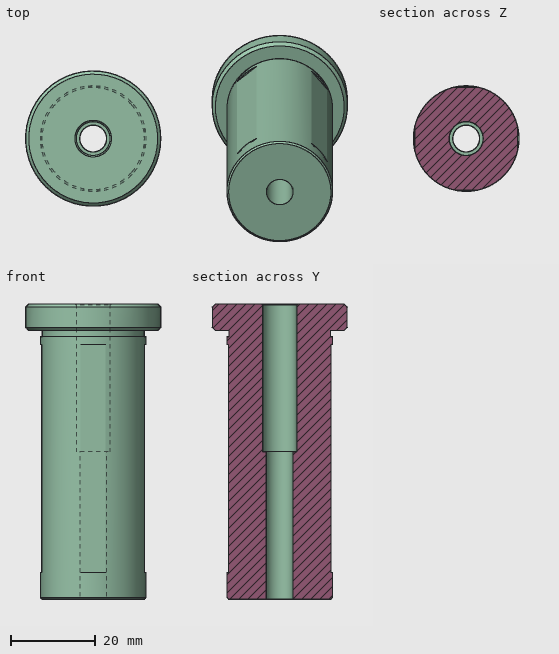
import cadquery as cq

length = 69.85
flange_radius = 16.0
flange_height = 6.35
flange_chamfer = 0.8

shank_radius = 12.5
shank_chamfer = 0.4
groove_radius = 12.1
groove_height = 1.4

flat_distance = 12.15
flat_bottom = 6.35
flat_top = 60.2
flat_cutter_depth = 1.4

bore_radius = 3.15
counterbore_radius = 4.0
counterbore_depth = length / 2
bore_mouth_chamfer = 0.35

flange_bottom = length - flange_height


def make_flange():
    disc = cq.Workplane("XY").workplane(offset=flange_bottom)
    return disc.circle(flange_radius).extrude(flange_height).edges().chamfer(flange_chamfer)


def make_shank():
    shank_height = flange_bottom - groove_height
    shank = cq.Workplane("XY").circle(shank_radius).extrude(shank_height)
    shank = shank.faces("<Z").edges().chamfer(shank_chamfer)
    neck = cq.Workplane("XY").circle(groove_radius).extrude(flange_bottom)
    return shank.union(neck)


def make_flat_cutter(angle):
    """Block whose inner face forms one flat, turned about the part's axis."""
    block = cq.Workplane("XY").box(
        flat_cutter_depth, 2 * shank_radius, flat_top - flat_bottom, centered=(False, True, False)
    )
    block = block.translate((flat_distance, 0, flat_bottom))
    return block.rotate((0, 0, 0), (0, 0, 1), angle)


def make_bore():
    through_hole = cq.Workplane("XY").circle(bore_radius).extrude(length)
    counterbore = (
        cq.Workplane("XY").workplane(offset=length).circle(counterbore_radius).extrude(-counterbore_depth)
    )
    mouth = (
        cq.Workplane("XY")
        .workplane(offset=length - bore_mouth_chamfer)
        .circle(counterbore_radius)
        .workplane(offset=bore_mouth_chamfer)
        .circle(counterbore_radius + bore_mouth_chamfer)
        .loft(ruled=True)
    )
    return through_hole.union(counterbore).union(mouth)


result = make_shank().union(make_flange())
for angle in (0, 90, 180, 270):
    result = result.cut(make_flat_cutter(angle))
result = result.cut(make_bore())